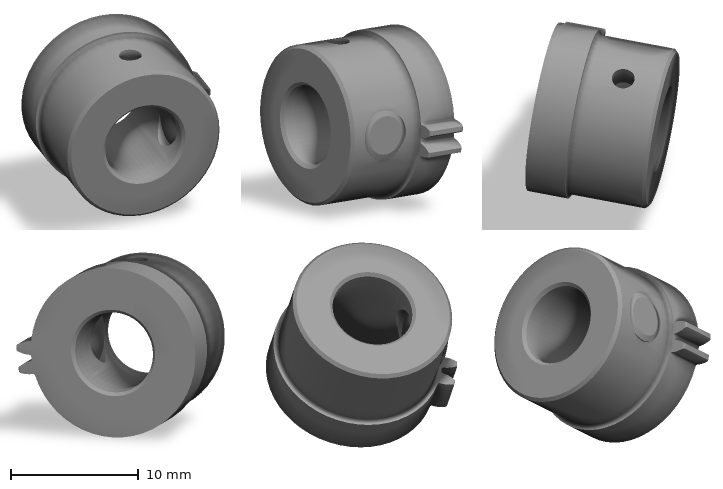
import cadquery as cq
import math

MM_PER_INCH = 25.4

TOOTH_COUNT = 28
DIAMETRAL_PITCH = 48
TOOTH_ANGLES = [0, -360 / TOOTH_COUNT]
PITCH_RADIUS = TOOTH_COUNT / DIAMETRAL_PITCH * MM_PER_INCH / 2
ADDENDUM = MM_PER_INCH / DIAMETRAL_PITCH
TIP_RADIUS = PITCH_RADIUS + ADDENDUM
ROOT_RADIUS = 6.71
FOOT_DEPTH = 0.5
TIP_HALF_WIDTH = 0.19
PITCH_HALF_WIDTH = math.pi * PITCH_RADIUS / (2 * TOOTH_COUNT)
ROOT_HALF_WIDTH = 0.5
TIP_FILLET = 0.15
ROOT_FILLET = 0.15
CORNER_REACH = 0.01

TOTAL_LENGTH = 9.525
DISC_WIDTH = 3.2
HUB_RADIUS = 6.35
BORE_RADIUS = 3.175
EDGE_BREAK = 0.25
HUB_LENGTH = TOTAL_LENGTH - DISC_WIDTH
CROSS_HOLE_X = DISC_WIDTH + HUB_LENGTH / 2

DRILL_RADIUS = 0.89
DRILL_DEPTH = 2.0
DRILL_POINT_ANGLE = math.radians(118)
DRILL_POINT_HEIGHT = DRILL_RADIUS / math.tan(DRILL_POINT_ANGLE / 2)

SCREW_RADIUS = 1.97
SCREW_CHAMFER_HEIGHT = 0.2
SCREW_CHAMFER_WIDTH = 0.43


def polar(radius, angle):
    return (radius * math.cos(angle), radius * math.sin(angle))


def make_tooth():
    """Tooth centred on +Y, with one arc for each flank and its foot sunk into the disc."""
    foot = ROOT_RADIUS - FOOT_DEPTH
    flank_start = math.sqrt(ROOT_RADIUS**2 - ROOT_HALF_WIDTH**2)
    tooth = (
        cq.Workplane("YZ")
        .moveTo(foot, -ROOT_HALF_WIDTH)
        .lineTo(flank_start, -ROOT_HALF_WIDTH)
        .threePointArc((PITCH_RADIUS, -PITCH_HALF_WIDTH), (TIP_RADIUS, -TIP_HALF_WIDTH))
        .lineTo(TIP_RADIUS, TIP_HALF_WIDTH)
        .threePointArc((PITCH_RADIUS, PITCH_HALF_WIDTH), (flank_start, ROOT_HALF_WIDTH))
        .lineTo(foot, ROOT_HALF_WIDTH)
        .close()
        .extrude(DISC_WIDTH)
    )
    tip_envelope = (
        cq.Workplane("YZ").circle(TIP_RADIUS).extrude(DISC_WIDTH).edges().fillet(TIP_FILLET)
    )
    return tooth.intersect(tip_envelope)


def make_gear():
    """Disc at the root diameter with its teeth, which share the full width of the disc."""
    gear_blank = cq.Workplane("YZ").circle(ROOT_RADIUS).extrude(DISC_WIDTH)
    tooth = make_tooth()
    for angle in TOOTH_ANGLES:
        gear_blank = gear_blank.union(tooth.rotate((0, 0, 0), (1, 0, 0), angle))

    corner_half_angle = math.asin(ROOT_HALF_WIDTH / ROOT_RADIUS)
    for angle in TOOTH_ANGLES:
        for side in (-1, 1):
            y, z = polar(ROOT_RADIUS, math.radians(angle) + side * corner_half_angle)
            corner = cq.selectors.BoxSelector(
                (0, y - CORNER_REACH, z - CORNER_REACH),
                (DISC_WIDTH, y + CORNER_REACH, z + CORNER_REACH),
            )
            gear_blank = gear_blank.edges("|X").edges(corner).fillet(ROOT_FILLET)
    return gear_blank


def make_hub():
    """Hub profile revolved about X, flaring into the disc through a concave fillet."""
    fillet_top = HUB_RADIUS + EDGE_BREAK
    fillet_end = DISC_WIDTH + EDGE_BREAK
    fillet_mid = EDGE_BREAK * (1 - math.sqrt(0.5))
    return (
        cq.Workplane("XY")
        .moveTo(0, 0)
        .lineTo(0, HUB_RADIUS)
        .lineTo(DISC_WIDTH, HUB_RADIUS)
        .lineTo(DISC_WIDTH, fillet_top)
        .threePointArc((DISC_WIDTH + fillet_mid, HUB_RADIUS + fillet_mid), (fillet_end, HUB_RADIUS))
        .lineTo(TOTAL_LENGTH - EDGE_BREAK, HUB_RADIUS)
        .lineTo(TOTAL_LENGTH, HUB_RADIUS - EDGE_BREAK)
        .lineTo(TOTAL_LENGTH, 0)
        .close()
        .revolve(360, (0, 0, 0), (1, 0, 0))
    )


def make_bore():
    """Through bore with a chamfer at each end."""
    mouth_radius = BORE_RADIUS + EDGE_BREAK
    return (
        cq.Workplane("XY")
        .moveTo(0, 0)
        .lineTo(0, mouth_radius)
        .lineTo(EDGE_BREAK, BORE_RADIUS)
        .lineTo(TOTAL_LENGTH - EDGE_BREAK, BORE_RADIUS)
        .lineTo(TOTAL_LENGTH, mouth_radius)
        .lineTo(TOTAL_LENGTH, 0)
        .close()
        .revolve(360, (0, 0, 0), (1, 0, 0))
    )


def make_drilled_hole():
    """Blind hole down from the top of the hub, ending in a drill point."""
    shoulder_z = HUB_RADIUS - DRILL_DEPTH
    return (
        cq.Workplane("XZ")
        .moveTo(0, HUB_RADIUS)
        .lineTo(DRILL_RADIUS, HUB_RADIUS)
        .lineTo(DRILL_RADIUS, shoulder_z)
        .lineTo(0, shoulder_z - DRILL_POINT_HEIGHT)
        .close()
        .revolve(360, (0, 0, 0), (0, 1, 0))
        .translate((CROSS_HOLE_X, 0, 0))
    )


def make_screw_hole():
    """Radial hole from the bore out through the +Y side of the hub."""
    return (
        cq.Workplane("XZ")
        .center(CROSS_HOLE_X, 0)
        .circle(SCREW_RADIUS)
        .extrude(-HUB_RADIUS)
    )


def make_set_screw():
    """Plain screw body, level with the hub's outside and ending at the bore."""
    shoulder_y = HUB_RADIUS - SCREW_CHAMFER_HEIGHT
    return (
        cq.Workplane("XY")
        .moveTo(0, BORE_RADIUS)
        .lineTo(SCREW_RADIUS, BORE_RADIUS)
        .lineTo(SCREW_RADIUS, shoulder_y)
        .lineTo(SCREW_RADIUS - SCREW_CHAMFER_WIDTH, HUB_RADIUS)
        .lineTo(0, HUB_RADIUS)
        .close()
        .revolve(360, (0, 0, 0), (0, 1, 0))
        .translate((CROSS_HOLE_X, 0, 0))
    )


gear = make_gear().union(make_hub()).cut(make_bore())
gear = gear.cut(make_drilled_hole()).cut(make_screw_hole())
set_screw = make_set_screw()

result = cq.Compound.makeCompound([*gear.solids().vals(), set_screw.val()])